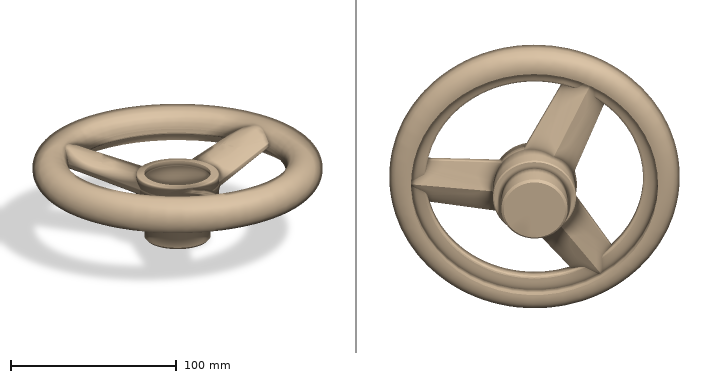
import cadquery as cq
import math

wheel_diameter = 175.0
total_height = 56.0

tube_diameter = 22.0
tube_radius = tube_diameter / 2
rim_path_radius = wheel_diameter / 2 - tube_radius
rim_height = total_height - tube_radius
rim_step_diameter = 148.9
rim_step_drop = 3.8
rim_step_fillet = 1.4
rim_step_top = rim_height - rim_step_drop

hub_diameter = 50.0
foot_diameter = 39.9
foot_height = 15.7
hub_top = 42.0
foot_chamfer = 1.4
hub_chamfer = 0.7
hub_top_fillet = 1.0

recess_diameter = 40.0
recess_depth = 3.1
recess_floor_fillet = 0.5

spoke_count = 3
spoke_length = 75.2
spoke_rise = 20.3
root_half_width = 18.0
tip_half_width = 13.6
root_edge_low = 27.3
root_edge_thickness = 3.8
tip_edge_thickness = 2.5
keel_depth = 7.0
root_crown = 3.5
tip_crown = 4.9
spoke_edge_fillet = 0.9

collar_diameter = 51.1
collar_base = 32.4
collar_fillet = 1.0


def make_rim():
    """Round tube whose inner wall drops straight down to a stepped underside."""
    inner_radius = rim_path_radius - tube_radius
    step_radius = rim_step_diameter / 2
    step_offset = rim_path_radius - step_radius
    tube_bottom = rim_height - math.sqrt(tube_radius**2 - step_offset**2)
    rim = (
        cq.Workplane("XZ")
        .moveTo(inner_radius, rim_height)
        .threePointArc((rim_path_radius + tube_radius, rim_height), (step_radius, tube_bottom))
        .lineTo(step_radius, rim_step_top)
        .lineTo(inner_radius, rim_step_top)
        .close()
        .revolve(360, (0, 0), (0, 1))
    )
    lip = cq.selectors.RadiusNthSelector(0)
    return rim.faces("|Z").edges(lip).fillet(rim_step_fillet)


def make_hub():
    foot = cq.Workplane("XY").circle(foot_diameter / 2).extrude(foot_height)
    foot = foot.faces("<Z").chamfer(foot_chamfer)
    body = (
        cq.Workplane("XY")
        .workplane(offset=foot_height)
        .circle(hub_diameter / 2)
        .extrude(hub_top - foot_height)
    )
    body = body.faces("<Z").chamfer(hub_chamfer)
    body = body.faces(">Z").edges().fillet(hub_top_fillet)
    return foot.union(body)


def spoke_section(x, half_width, edge_low, edge_thickness, crown_height):
    """Closed section across the spoke: short sides, arched top, V-shaped underside."""
    edge_high = edge_low + edge_thickness
    return (
        cq.Workplane("YZ", origin=(x, 0, 0))
        .moveTo(-half_width, edge_low)
        .lineTo(0, edge_low - keel_depth)
        .lineTo(half_width, edge_low)
        .lineTo(half_width, edge_high)
        .threePointArc((0, edge_high + crown_height), (-half_width, edge_high))
        .close()
        .wire()
        .val()
    )


def make_spoke():
    root = spoke_section(0, root_half_width, root_edge_low, root_edge_thickness, root_crown)
    tip_edge_low = root_edge_low + spoke_rise
    tip = spoke_section(spoke_length, tip_half_width, tip_edge_low, tip_edge_thickness, tip_crown)
    spoke = cq.Workplane(cq.Solid.makeLoft([root, tip], True))
    side_edges = spoke.faces("<Y or >Y").edges("not(<X or >X)")
    return side_edges.fillet(spoke_edge_fillet)


def make_collar():
    """Rounded ring that carries the spoke edges around the hub."""
    collar = (
        cq.Workplane("XY")
        .workplane(offset=collar_base)
        .circle(collar_diameter / 2)
        .extrude(root_edge_thickness)
    )
    return collar.edges().fillet(collar_fillet)


def make_cap_recess():
    recess = (
        cq.Workplane("XY")
        .workplane(offset=hub_top - recess_depth)
        .circle(recess_diameter / 2)
        .extrude(recess_depth)
    )
    return recess.faces("<Z").edges().fillet(recess_floor_fillet)


result = make_hub().union(make_collar()).union(make_rim())
for index in range(spoke_count):
    angle = index * 360 / spoke_count
    result = result.union(make_spoke().rotate((0, 0, 0), (0, 0, 1), angle))
result = result.cut(make_cap_recess())